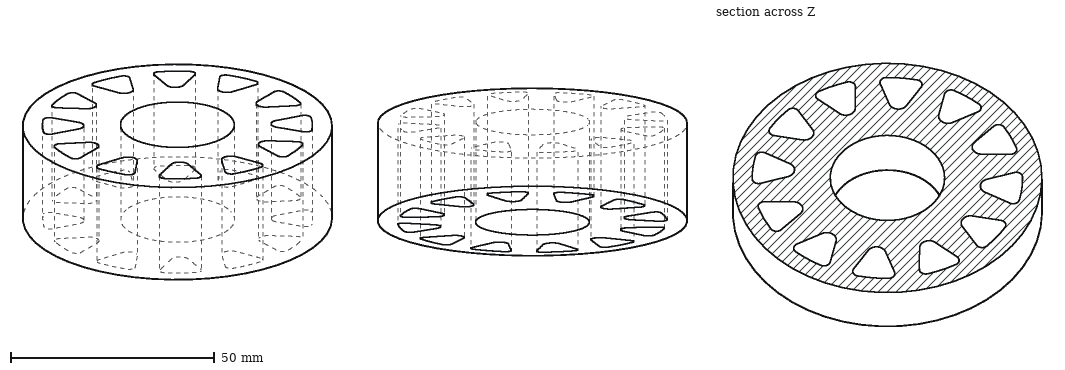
import cadquery as cq
import math

outer_diameter = 76.2
width = 25.4
bore_diameter = 28.05

hub_radius = 31.85
rim_drop = 0.3

pocket_count = 12
pocket_apex_radius = 19.8
pocket_outer_radius = 33.2
pocket_half_angle = 24.4
pocket_tip_fillet = 2.3
pocket_corner_fillet = 1.5

outer_radius = outer_diameter / 2
bore_radius = bore_diameter / 2
half_width = width / 2


def wheel_body():
    """Ring with both end faces tapering towards the tread."""
    tread_half_width = half_width - rim_drop
    half_section = [
        (bore_radius, -half_width),
        (hub_radius, -half_width),
        (outer_radius, -tread_half_width),
        (outer_radius, tread_half_width),
        (hub_radius, half_width),
        (bore_radius, half_width),
    ]
    return cq.Workplane("XZ").polyline(half_section).close().revolve(360, (0, 0), (0, 1))


def pocket_cutter():
    """Rounded wedge centred on +X, with its outer side concentric with the wheel."""
    half_angle = math.radians(pocket_half_angle)
    corner_angle = half_angle - math.asin(pocket_apex_radius * math.sin(half_angle) / pocket_outer_radius)
    corner_x = pocket_outer_radius * math.cos(corner_angle)
    corner_y = pocket_outer_radius * math.sin(corner_angle)
    return (
        cq.Workplane("XY", origin=(0, 0, -half_width))
        .moveTo(pocket_apex_radius, 0)
        .lineTo(corner_x, -corner_y)
        .threePointArc((pocket_outer_radius, 0), (corner_x, corner_y))
        .close()
        .extrude(width)
        .edges("|Z and <X").fillet(pocket_tip_fillet)
        .edges("|Z and (<Y or >Y)").fillet(pocket_corner_fillet)
    )


result = wheel_body()
cutter = pocket_cutter()
for index in range(pocket_count):
    angle = index * 360 / pocket_count
    result = result.cut(cutter.rotate((0, 0, 0), (0, 0, 1), angle))